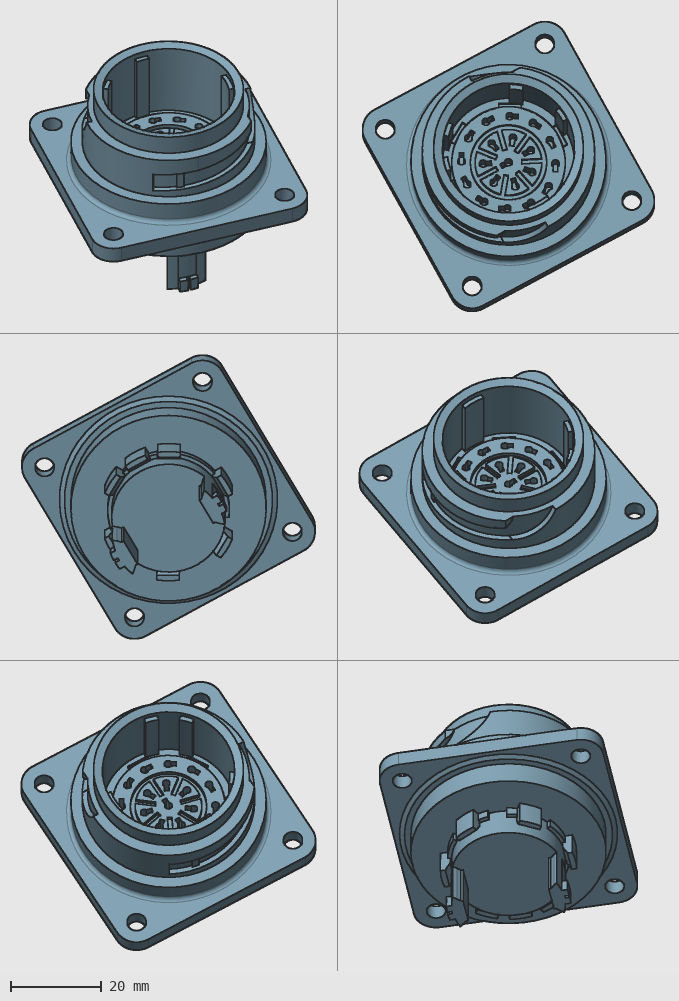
import math

import cadquery as cq

SHELL_TOP = 20.2
BAYONET_TOP = 15.6
COLLAR_TOP = 5.2
FLANGE_THICKNESS = 3.8
BEAD_HEIGHT = 0.45
BARREL_BOTTOM = -9.8
TAB_RING_BOTTOM = -11.8
CLIP_BOTTOM = -15.4
INSERT_BOTTOM = -16.8
LUG_TOP = -23.7
LEG_BOTTOM = -26.7
BORE_FLOOR = 2.0
INSERT_TOP = 3.0

FLANGE_SIZE = 50.0
FLANGE_CORNER_RADIUS = 5.0
MOUNT_HOLE_PITCH = 40.0
MOUNT_HOLE_DIAMETER = 4.2

COLLAR_RADIUS = 43.0 / 2
BAYONET_RADIUS = 38.0 / 2
RIM_RADIUS = 33.0 / 2
BORE_RADIUS = 29.1 / 2
INSERT_RADIUS = 25.0 / 2
COLLAR_FILLET = 1.0
RIM_BEVEL_DROP = 0.55
BEAD_RADIUS = 48.0 / 2
BEAD_BOTTOM_RADIUS = 22.9

KEY_TIP_RADIUS = 13.5
KEY_TOP = SHELL_TOP - 1.9
MAIN_KEY_WIDTH = 5.0
MAIN_KEY_ANGLE = 90.0
CODING_KEY_WIDTH = 3.0
CODING_KEY_ANGLES = (185.0, 234.5, 313.0, 345.0)

CLIP_COUNT = 6
MAIN_CLIP_ANGLE = MAIN_KEY_ANGLE
CLIP_WIDTH = 5.0
CLIP_OUTER_RADIUS = 15.0
CLIP_INNER_RADIUS = 12.6
CLIP_TIP_RADIUS = 13.7
CLIP_TAPER_TOP = CLIP_BOTTOM + 2.1
CLIP_SLOT_RADIUS = 13.4
CLIP_SLOT_DEPTH = 1.0
TAB_RING_RADIUS = 13.4
TAB_ARCS = ((240.0, 261.0), (279.0, 300.0), (324.0, 576.0))

CONTACT_RADIUS = 0.8
CONTACT_SLOT_WIDTH = 1.0
CONTACT_SLOT_REACH = 1.85
CONTACT_DEPTH = 5.0
OUTER_CONTACT_COUNT = 12
OUTER_CONTACT_CIRCLE = 10.35
INNER_CONTACT_COUNT = 7
INNER_CONTACT_CIRCLE = 5.6

CHANNEL_OUTER_RADIUS = 16.8 / 2
CHANNEL_INNER_RADIUS = 7.35
CHANNEL_DEPTH = 1.0
SPOKE_WIDTH = 1.0
SPOKE_INNER_RADIUS = 2.9

GROOVE_FLOOR_RADIUS = 17.8
GROOVE_END_ANGLE = 150.0
GROOVE_START_ANGLE = 272.0
ENTRY_X = -0.45
ENTRY_WALL_Y = -15.3
DETENT_ANGLES = (166.2, 171.2)
DETENT_RADIUS = 18.2

LEG_HALF_WIDTH = 4.5
LEG_CORNER_X = math.sqrt(INSERT_RADIUS**2 - LEG_HALF_WIDTH**2)
LEG_SIDE = ((LEG_CORNER_X, LEG_HALF_WIDTH), (10.9, 3.9), (10.1, 3.1), (9.6, 3.1))
LUG_HALF_WIDTH = 2.1
LUG_RADIUS = 13.7
LUG_NOTCH_WIDTH = 0.6
LUG_NOTCH_DEPTH = 1.0
LEG_PAD_RADIUS = 12.6

FULL_TURN = 360.0
OVERCUT = 1.0


def cylinder(radius, bottom, top):
    return cq.Workplane("XY").workplane(offset=bottom).circle(radius).extrude(top - bottom)


def ring(outer, inner, bottom, top):
    return cylinder(outer, bottom, top).cut(cylinder(inner, bottom, top))


def box(x_range, y_range, z_range):
    (x0, x1), (y0, y1), (z0, z1) = x_range, y_range, z_range
    return cq.Workplane("XY").box(x1 - x0, y1 - y0, z1 - z0, centered=False).translate((x0, y0, z0))


def turn(body, angle):
    return body.rotate((0, 0, 0), (0, 0, 1), angle)


def ring_sector(outer, inner, start, end, bottom, top):
    """Part of a ring between two angles in degrees, going anticlockwise."""
    def point(radius, angle):
        return radius * math.cos(math.radians(angle)), radius * math.sin(math.radians(angle))

    middle = (start + end) / 2
    return (
        cq.Workplane("XY").workplane(offset=bottom)
        .moveTo(*point(inner, start))
        .lineTo(*point(outer, start))
        .threePointArc(point(outer, middle), point(outer, end))
        .lineTo(*point(inner, end))
        .threePointArc(point(inner, middle), point(inner, start))
        .close()
        .extrude(top - bottom)
    )


def make_shell():
    """Flange, collar, bayonet cylinder, rim and rear barrel, turned about Z."""
    flange_bottom = -FLANGE_THICKNESS
    bead_bottom = flange_bottom - BEAD_HEIGHT
    fillet_offset = COLLAR_FILLET * (1 - math.sqrt(0.5))
    turned = (
        cq.Workplane("XZ")
        .moveTo(0, BARREL_BOTTOM)
        .lineTo(COLLAR_RADIUS, BARREL_BOTTOM)
        .lineTo(COLLAR_RADIUS, bead_bottom)
        .lineTo(BEAD_BOTTOM_RADIUS, bead_bottom)
        .lineTo(BEAD_RADIUS, flange_bottom)
        .lineTo(BEAD_RADIUS, 0)
        .lineTo(COLLAR_RADIUS + COLLAR_FILLET, 0)
        .threePointArc((COLLAR_RADIUS + fillet_offset, fillet_offset), (COLLAR_RADIUS, COLLAR_FILLET))
        .lineTo(COLLAR_RADIUS, COLLAR_TOP)
        .lineTo(BAYONET_RADIUS, COLLAR_TOP)
        .lineTo(BAYONET_RADIUS, BAYONET_TOP)
        .lineTo(RIM_RADIUS, BAYONET_TOP)
        .lineTo(RIM_RADIUS, SHELL_TOP)
        .lineTo(BORE_RADIUS, SHELL_TOP - RIM_BEVEL_DROP)
        .lineTo(BORE_RADIUS, BORE_FLOOR)
        .lineTo(0, BORE_FLOOR)
        .close()
        .revolve(FULL_TURN, (0, 0, 0), (0, 1, 0))
    )
    flange = (
        cq.Workplane("XY").workplane(offset=flange_bottom)
        .rect(FLANGE_SIZE, FLANGE_SIZE).extrude(FLANGE_THICKNESS)
        .edges("|Z").fillet(FLANGE_CORNER_RADIUS)
    )
    mount_holes = (
        cq.Workplane("XY").workplane(offset=flange_bottom)
        .rect(MOUNT_HOLE_PITCH, MOUNT_HOLE_PITCH, forConstruction=True).vertices()
        .circle(MOUNT_HOLE_DIAMETER / 2).extrude(FLANGE_THICKNESS)
    )
    return turned.union(flange.cut(mount_holes))


def make_bayonet_groove():
    """One groove: it enters from the top near -Y, sinks, then climbs down round the -X side."""
    reach = BAYONET_RADIUS + OVERCUT
    band = ring_sector(
        reach, GROOVE_FLOOR_RADIUS, GROOVE_END_ANGLE, GROOVE_START_ANGLE,
        COLLAR_TOP + OVERCUT, BAYONET_TOP,
    )

    sweep_end_x = -10.0
    sweep_end_drop = 7.15
    sweep_middle_x = -3.1
    sweep_middle_drop = 4.2
    entry = (
        cq.Workplane("XZ")
        .moveTo(ENTRY_X, BAYONET_TOP)
        .threePointArc(
            (sweep_middle_x, BAYONET_TOP - sweep_middle_drop),
            (sweep_end_x, BAYONET_TOP - sweep_end_drop),
        )
        .lineTo(sweep_end_x, COLLAR_TOP)
        .lineTo(-reach, COLLAR_TOP)
        .lineTo(-reach, BAYONET_TOP)
        .close()
        .extrude(reach, both=True)
    )

    run_end_y = reach / 2
    run_start_top_drop, run_start_bottom_drop = 3.05, 6.9
    run_end_top_drop, run_end_bottom_drop = 4.3, 8.9
    run = (
        cq.Workplane("YZ")
        .moveTo(-reach, BAYONET_TOP)
        .lineTo(ENTRY_WALL_Y, BAYONET_TOP)
        .lineTo(ENTRY_WALL_Y, BAYONET_TOP - run_start_top_drop)
        .lineTo(run_end_y, BAYONET_TOP - run_end_top_drop)
        .lineTo(run_end_y, BAYONET_TOP - run_end_bottom_drop)
        .lineTo(-reach, BAYONET_TOP - run_start_bottom_drop)
        .close()
        .extrude(-reach)
    )

    corner_top_x, corner_middle_x, corner_end_x = -9.2, -10.7, -13.0
    corner_middle_drop = 2.3
    corner = (
        cq.Workplane("XZ")
        .moveTo(corner_top_x, BAYONET_TOP)
        .threePointArc(
            (corner_middle_x, BAYONET_TOP - corner_middle_drop),
            (corner_end_x, BAYONET_TOP - run_start_top_drop),
        )
        .lineTo(ENTRY_X, BAYONET_TOP - run_start_bottom_drop)
        .lineTo(ENTRY_X, BAYONET_TOP)
        .close()
        .extrude(reach)
    )

    detent = ring_sector(DETENT_RADIUS, GROOVE_FLOOR_RADIUS, *DETENT_ANGLES, COLLAR_TOP, BAYONET_TOP)
    return band.intersect(entry).intersect(run.union(corner)).cut(detent)


def make_key(angle, width):
    key = box((0, BORE_RADIUS + OVERCUT), (-width / 2, width / 2), (BORE_FLOOR, KEY_TOP))
    wall = ring(BORE_RADIUS + OVERCUT, KEY_TIP_RADIUS, BORE_FLOOR, KEY_TOP)
    return turn(key, angle).intersect(wall)


def make_clip(angle):
    """Hook hanging below the barrel, tapered on the inside towards its tip."""
    profile = (
        cq.Workplane("XZ")
        .moveTo(CLIP_INNER_RADIUS, BARREL_BOTTOM)
        .lineTo(CLIP_OUTER_RADIUS, BARREL_BOTTOM)
        .lineTo(CLIP_OUTER_RADIUS, CLIP_BOTTOM)
        .lineTo(CLIP_TIP_RADIUS, CLIP_BOTTOM)
        .lineTo(CLIP_INNER_RADIUS, CLIP_TAPER_TOP)
        .close()
        .extrude(CLIP_WIDTH / 2, both=True)
    )
    return turn(profile.intersect(cylinder(CLIP_OUTER_RADIUS, CLIP_BOTTOM, BARREL_BOTTOM)), angle)


def make_clip_slot(angle):
    slot = box(
        (INSERT_RADIUS - OVERCUT, CLIP_SLOT_RADIUS),
        (-CLIP_WIDTH / 2, CLIP_WIDTH / 2),
        (BORE_FLOOR - CLIP_SLOT_DEPTH, BORE_FLOOR),
    )
    return turn(slot.cut(cylinder(INSERT_RADIUS, BORE_FLOOR - CLIP_SLOT_DEPTH, BORE_FLOOR)), angle)


def make_tab(start, end):
    inner = INSERT_RADIUS - OVERCUT
    return ring_sector(TAB_RING_RADIUS, inner, start, end, TAB_RING_BOTTOM, BARREL_BOTTOM)


def make_contact_hole(distance, position_angle, slot_angle):
    """Keyhole: a round hole with a slot leaving it at slot_angle to the radial direction."""
    bottom = INSERT_TOP - CONTACT_DEPTH
    slot = box(
        (0, CONTACT_SLOT_REACH),
        (-CONTACT_SLOT_WIDTH / 2, CONTACT_SLOT_WIDTH / 2),
        (bottom, INSERT_TOP),
    )
    keyhole = turn(cylinder(CONTACT_RADIUS, bottom, INSERT_TOP).union(slot), slot_angle)
    return turn(keyhole.translate((distance, 0, 0)), position_angle)


def make_contact_holes():
    toward_center = 180.0
    clockwise = -90.0
    holes = make_contact_hole(0, 0, 0)
    for i in range(INNER_CONTACT_COUNT):
        angle = FULL_TURN / INNER_CONTACT_COUNT * (i + 0.5)
        holes = holes.union(make_contact_hole(INNER_CONTACT_CIRCLE, angle, toward_center))
    for i in range(OUTER_CONTACT_COUNT):
        angle = FULL_TURN / OUTER_CONTACT_COUNT * i
        holes = holes.union(make_contact_hole(OUTER_CONTACT_CIRCLE, angle, clockwise))
    return holes


def make_separator_channel():
    bottom = INSERT_TOP - CHANNEL_DEPTH
    channel = ring(CHANNEL_OUTER_RADIUS, CHANNEL_INNER_RADIUS, bottom, INSERT_TOP)
    ring_middle = (CHANNEL_OUTER_RADIUS + CHANNEL_INNER_RADIUS) / 2
    spoke = box((SPOKE_INNER_RADIUS, ring_middle), (-SPOKE_WIDTH / 2, SPOKE_WIDTH / 2), (bottom, INSERT_TOP))
    for i in range(INNER_CONTACT_COUNT):
        channel = channel.union(turn(spoke, FULL_TURN / INNER_CONTACT_COUNT * i))
    return channel


def make_leg_blank():
    """Prism on the +X side, running into the insert; its outer face is left to the insert cylinder."""
    outer_x = INSERT_RADIUS + OVERCUT
    mirrored_side = [(x, -y) for x, y in reversed(LEG_SIDE)]
    return (
        cq.Workplane("XY").workplane(offset=LEG_BOTTOM)
        .polyline([(outer_x, LEG_HALF_WIDTH), *LEG_SIDE, *mirrored_side, (outer_x, -LEG_HALF_WIDTH)])
        .close()
        .extrude(INSERT_TOP - LEG_BOTTOM)
    )


def make_leg_pad():
    """Thin pad on the outside of the +X leg, with a notched lug at its foot."""
    inner_x = INSERT_RADIUS - OVERCUT
    strip = box((inner_x, FLANGE_SIZE), (-LUG_HALF_WIDTH, LUG_HALF_WIDTH), (LEG_BOTTOM, INSERT_BOTTOM))
    lug_and_pad = cylinder(LUG_RADIUS, LEG_BOTTOM, LUG_TOP).union(
        cylinder(LEG_PAD_RADIUS, LUG_TOP, INSERT_BOTTOM)
    )
    notch = box(
        (LUG_RADIUS - LUG_NOTCH_DEPTH, FLANGE_SIZE),
        (-LUG_NOTCH_WIDTH / 2, LUG_NOTCH_WIDTH / 2),
        (LEG_BOTTOM, LUG_TOP),
    )
    return lug_and_pad.intersect(strip).cut(notch)


def make_insert():
    """Contact insert with its two legs, cut from one cylinder."""
    leg = make_leg_blank()
    blank = cylinder(INSERT_RADIUS + OVERCUT, INSERT_BOTTOM, INSERT_TOP).union(leg).union(turn(leg, 180))
    insert = cylinder(INSERT_RADIUS, LEG_BOTTOM, INSERT_TOP).intersect(blank)
    pad = make_leg_pad()
    return insert.union(pad).union(turn(pad, 180))


def make_part():
    part = make_shell()

    groove = make_bayonet_groove()
    part = part.cut(groove).cut(turn(groove, 180))

    part = part.union(make_key(MAIN_KEY_ANGLE, MAIN_KEY_WIDTH))
    for angle in CODING_KEY_ANGLES:
        part = part.union(make_key(angle, CODING_KEY_WIDTH))

    part = part.union(make_insert())
    part = part.cut(make_separator_channel()).cut(make_contact_holes())

    for start, end in TAB_ARCS:
        part = part.union(make_tab(start, end))
    for i in range(CLIP_COUNT):
        angle = FULL_TURN / CLIP_COUNT * i
        part = part.union(make_clip(angle)).cut(make_clip_slot(angle))
    return part.union(make_clip(MAIN_CLIP_ANGLE))


result = make_part()